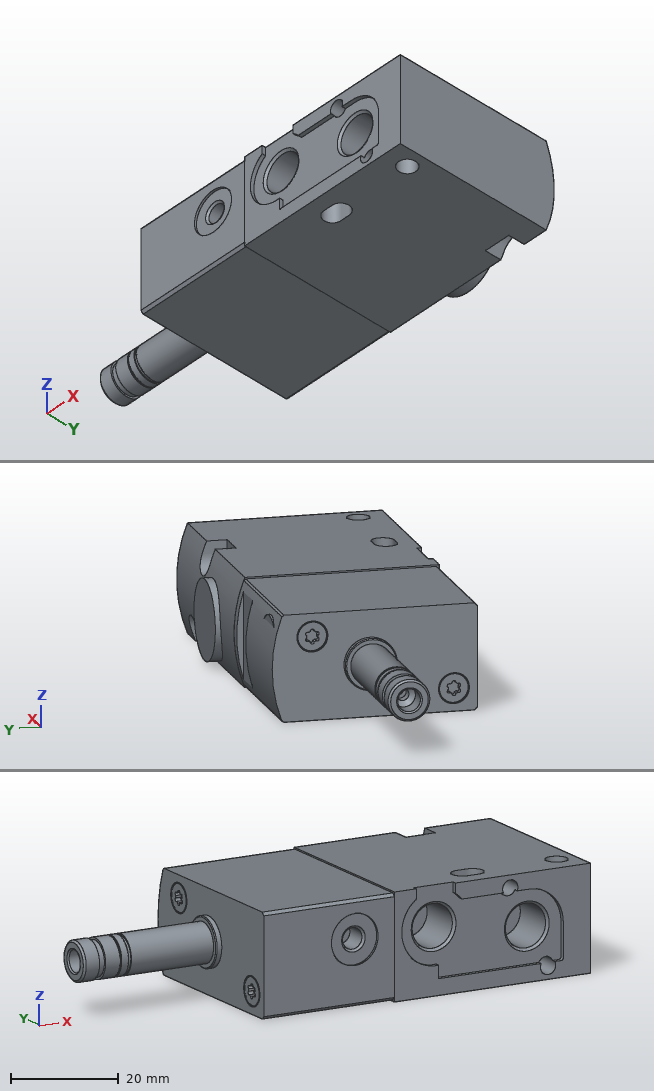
import cadquery as cq
import math


TOTAL_LENGTH = 98.75
VALVE_LENGTH = 42.0
VALVE_HEIGHT = 21.1
PILOT_LENGTH = 27.9
PILOT_HEIGHT = 20.5
STEM_LENGTH = TOTAL_LENGTH - VALVE_LENGTH - PILOT_LENGTH
OUTER_DEPTH = 40.4
SEAT_HEIGHT = 1.0
CREST_Y = OUTER_DEPTH - SEAT_HEIGHT
BULGE_EDGE_Y = 37.3

PORT_DIAMETER = 8.6
PORT_MOUTH_DIAMETER = 9.6
PORT_DEPTH = 9.9
EXHAUST_PORT = (8.9, 2.6)
SUPPLY_PORT = (28.8, 0.0)

RECESS_DEPTH = 0.9
RECESS_RADIUS = 7.3
RECESS_LEFT = 9.5
RECESS_CORNER_RADIUS = 0.5
VENT_LEFT = 4.7
VENT_RIGHT = 13.0

BOLT_HOLES = ((24.8, 8.0), (32.9, -8.0))
BOLT_DIAMETER = 3.3
BOLT_SEAT_WIDTH = 6.3
BOLT_SEAT_Y = 33.4
VERTICAL_HOLE_DIAMETER = 4.3
VERTICAL_HOLE_Y = 5.6
ROUND_HOLE_X = 37.9
OBLONG_HOLE_X = 18.9
OBLONG_HOLE_LENGTH = 6.5

SEAT_DIAMETER = 15.6
SEAT_CENTRE = (17.7, -1.8)

PILOT_FRONT_CHAMFER = 0.6
PILOT_BACK_CHAMFER = 0.3
BACK_SLOT_RIGHT = -2.0
BACK_SLOT_WIDTH = 6.7
BACK_SLOT_FLOOR_Y = 38.1
PILOT_PORT = (-8.5, 2.6)
PILOT_SPOTFACE_DIAMETER = 10.0
PILOT_SPOTFACE_DEPTH = 0.5
PILOT_PORT_MOUTH_DIAMETER = 5.0
PILOT_PORT_DIAMETER = 4.1
PILOT_PORT_DEPTH = 4.9
BACK_BOSS_CENTRE = (-21.8, 3.9)
BACK_BOSS_DIAMETER = 10.0
BACK_BOSS_Y = 38.4

STEM_Y = 20.6
STEM_DIAMETER = 8.0
COLLAR_DIAMETER = 10.0
COLLAR_LENGTH = 1.2
COLLAR_CHAMFER = 0.2
TIP_CHAMFER = 0.4
STEM_GROOVES = ((3.3, 1.3, 7.1), (7.7, 0.3, 7.5), (9.5, 0.6, 7.5))
BORE_MOUTH_DIAMETER = 4.9
BORE_DIAMETER = 4.3
BORE_DEPTH = 3.95
BORE_CONE_LENGTH = 1.0
BORE_STEP_DIAMETER = 2.4
BORE_STEP_DEPTH = 2.0
VENT_BORE_DIAMETER = 0.9
VENT_BORE_DEPTH = 2.0

SCREW_CENTRES = ((31.7, 5.8), (4.5, -5.8))
SCREW_DIAMETER = 5.5
SCREW_LENGTH = 3.0
SCREW_MOUTH_CHAMFER = 0.2
SOCKET_DIAMETER = 2.9
SOCKET_LOBES = 6
SOCKET_LOBE_DIAMETER = 0.7
SOCKET_DEPTH = 1.2

PILOT_FACE_X = -PILOT_LENGTH
TIP_X = PILOT_FACE_X - STEM_LENGTH


def bulged_block(start_x, length, height):
    """Block of the given height, cut from the common profile with the bulged back."""
    half_full = VALVE_HEIGHT / 2
    profile = (
        cq.Workplane("YZ", origin=(start_x, 0, 0))
        .moveTo(0, -half_full)
        .lineTo(BULGE_EDGE_Y, -half_full)
        .threePointArc((CREST_Y, 0), (BULGE_EDGE_Y, half_full))
        .lineTo(0, half_full)
        .close()
        .extrude(length)
    )
    slab = (
        cq.Workplane("XY", origin=(start_x, 0, 0))
        .box(length, OUTER_DEPTH, height, centered=(False, False, True))
    )
    return profile.intersect(slab)


def y_cylinder(centre, diameter, start_y, end_y):
    """Cylinder along Y; centre is (X, Z)."""
    x, z = centre
    base = cq.Vector(x, start_y, z)
    solid = cq.Solid.makeCylinder(diameter / 2, end_y - start_y, base, cq.Vector(0, 1, 0))
    return cq.Workplane(obj=solid)


def y_port(centre, mouth_diameter, diameter, face_y, depth):
    """Blind hole along Y with a 45 degree chamfer at its mouth on face_y."""
    x, z = centre
    chamfer = (mouth_diameter - diameter) / 2
    cone = cq.Solid.makeCone(
        mouth_diameter / 2, diameter / 2, chamfer, cq.Vector(x, face_y, z), cq.Vector(0, 1, 0)
    )
    return y_cylinder(centre, diameter, face_y, face_y + depth).union(cq.Workplane(obj=cone))


def gasket_recess():
    """Shallow recess around both ports, open to the top through a vent."""
    exhaust_x, exhaust_z = EXHAUST_PORT
    right = SUPPLY_PORT[0] + RECESS_RADIUS
    long_part = (
        cq.Workplane("XY")
        .box(right - RECESS_LEFT, RECESS_DEPTH, 2 * RECESS_RADIUS, centered=(False, False, True))
        .translate((RECESS_LEFT, 0, 0))
    )
    long_part = long_part.edges("|Y and >X and >Z").fillet(RECESS_RADIUS)
    long_part = long_part.edges("|Y and >X and <Z").fillet(RECESS_CORNER_RADIUS)
    around_exhaust = y_cylinder((exhaust_x, exhaust_z), 2 * RECESS_RADIUS, 0, RECESS_DEPTH)
    vent = (
        cq.Workplane("XY")
        .box(VENT_RIGHT - VENT_LEFT, RECESS_DEPTH, VALVE_HEIGHT / 2 - exhaust_z, centered=False)
        .translate((VENT_LEFT, 0, exhaust_z))
    )
    return long_part.union(around_exhaust).union(vent)


def bolt_head_seat(centre):
    """U-shaped seat at the back of a bolt hole, open to the nearer of top and bottom."""
    x, z = centre
    depth = OUTER_DEPTH - BOLT_SEAT_Y
    opening = (
        cq.Workplane("XY", origin=(x, BOLT_SEAT_Y + depth / 2, z + math.copysign(VALVE_HEIGHT / 4, z)))
        .box(BOLT_SEAT_WIDTH, depth, VALVE_HEIGHT / 2)
    )
    return y_cylinder(centre, BOLT_SEAT_WIDTH, BOLT_SEAT_Y, OUTER_DEPTH).union(opening)


def make_valve():
    valve = bulged_block(0, VALVE_LENGTH, VALVE_HEIGHT)
    valve = valve.union(y_cylinder(SEAT_CENTRE, SEAT_DIAMETER, STEM_Y, OUTER_DEPTH))
    valve = valve.cut(gasket_recess())
    for centre in (EXHAUST_PORT, SUPPLY_PORT):
        valve = valve.cut(y_port(centre, PORT_MOUTH_DIAMETER, PORT_DIAMETER, RECESS_DEPTH, PORT_DEPTH))
    for centre in BOLT_HOLES:
        valve = valve.cut(y_cylinder(centre, BOLT_DIAMETER, 0, OUTER_DEPTH))
        valve = valve.cut(bolt_head_seat(centre))
    round_hole = (
        cq.Workplane("XY", origin=(ROUND_HOLE_X, VERTICAL_HOLE_Y, -VALVE_HEIGHT / 2))
        .circle(VERTICAL_HOLE_DIAMETER / 2)
        .extrude(VALVE_HEIGHT)
    )
    oblong_hole = (
        cq.Workplane("XY", origin=(OBLONG_HOLE_X, VERTICAL_HOLE_Y, -VALVE_HEIGHT / 2))
        .slot2D(OBLONG_HOLE_LENGTH, VERTICAL_HOLE_DIAMETER)
        .extrude(VALVE_HEIGHT)
    )
    return valve.cut(round_hole).cut(oblong_hole)


def make_stem():
    """Collar and grooved tube along the stem axis, with a stepped bore."""

    def disc(start, length, diameter):
        return (
            cq.Workplane("YZ", origin=(TIP_X + start, STEM_Y, 0))
            .circle(diameter / 2)
            .extrude(length)
        )

    stem = disc(0, STEM_LENGTH, STEM_DIAMETER).faces("<X").chamfer(TIP_CHAMFER)
    collar = disc(STEM_LENGTH - COLLAR_LENGTH, COLLAR_LENGTH, COLLAR_DIAMETER)
    stem = stem.union(collar.faces("<X").chamfer(COLLAR_CHAMFER))
    for start, width, floor_diameter in STEM_GROOVES:
        ring = disc(start, width, COLLAR_DIAMETER).cut(disc(start, width, floor_diameter))
        stem = stem.cut(ring)

    mouth_length = (BORE_MOUTH_DIAMETER - BORE_DIAMETER) / 2
    cone_end = BORE_DEPTH + BORE_CONE_LENGTH
    step_end = cone_end + BORE_STEP_DEPTH
    bore = (
        cq.Workplane("XY", origin=(TIP_X, STEM_Y, 0))
        .moveTo(0, 0)
        .lineTo(0, BORE_MOUTH_DIAMETER / 2)
        .lineTo(mouth_length, BORE_DIAMETER / 2)
        .lineTo(BORE_DEPTH, BORE_DIAMETER / 2)
        .lineTo(cone_end, BORE_STEP_DIAMETER / 2)
        .lineTo(step_end, BORE_STEP_DIAMETER / 2)
        .lineTo(step_end, VENT_BORE_DIAMETER / 2)
        .lineTo(step_end + VENT_BORE_DEPTH, VENT_BORE_DIAMETER / 2)
        .lineTo(step_end + VENT_BORE_DEPTH, 0)
        .close()
        .revolve(360, (0, 0, 0), (1, 0, 0))
    )
    return stem.cut(bore)


def screw_blank(centre):
    """Plain head, flush with the pilot face; centre is (Y, Z)."""
    y, z = centre
    return (
        cq.Workplane("YZ", origin=(PILOT_FACE_X, y, z))
        .circle(SCREW_DIAMETER / 2)
        .extrude(SCREW_LENGTH)
    )


def screw_pocket(centre):
    """Room for a screw head, with a chamfered mouth."""
    y, z = centre
    mouth = cq.Solid.makeCone(
        SCREW_DIAMETER / 2 + SCREW_MOUTH_CHAMFER,
        SCREW_DIAMETER / 2,
        SCREW_MOUTH_CHAMFER,
        cq.Vector(PILOT_FACE_X, y, z),
        cq.Vector(1, 0, 0),
    )
    return screw_blank(centre).union(cq.Workplane(obj=mouth))


def make_screw(centre):
    """Screw head with a six-lobed socket."""
    y, z = centre
    lobe_circle_radius = (SOCKET_DIAMETER - SOCKET_LOBE_DIAMETER) / 2
    face = cq.Workplane("YZ", origin=(PILOT_FACE_X, y, z))
    socket = face.circle(lobe_circle_radius).extrude(SOCKET_DEPTH)
    lobes = (
        face.polarArray(lobe_circle_radius, 90, 360, SOCKET_LOBES)
        .circle(SOCKET_LOBE_DIAMETER / 2)
        .extrude(SOCKET_DEPTH)
    )
    return screw_blank(centre).cut(socket.union(lobes))


def make_pilot():
    """Pilot block carrying the stem."""
    pilot = bulged_block(PILOT_FACE_X, PILOT_LENGTH, PILOT_HEIGHT)
    pilot = pilot.edges("|X and (not <Y)").chamfer(PILOT_BACK_CHAMFER)
    pilot = pilot.edges("|X and <Y").chamfer(PILOT_FRONT_CHAMFER)
    back_slot = (
        cq.Workplane("XY")
        .box(
            BACK_SLOT_WIDTH,
            OUTER_DEPTH - BACK_SLOT_FLOOR_Y,
            PILOT_HEIGHT,
            centered=(False, False, True),
        )
        .translate((BACK_SLOT_RIGHT - BACK_SLOT_WIDTH, BACK_SLOT_FLOOR_Y, 0))
    )
    pilot = pilot.cut(back_slot)
    pilot = pilot.union(y_cylinder(BACK_BOSS_CENTRE, BACK_BOSS_DIAMETER, STEM_Y, BACK_BOSS_Y))
    pilot = pilot.cut(y_cylinder(PILOT_PORT, PILOT_SPOTFACE_DIAMETER, 0, PILOT_SPOTFACE_DEPTH))
    pilot = pilot.cut(
        y_port(
            PILOT_PORT,
            PILOT_PORT_MOUTH_DIAMETER,
            PILOT_PORT_DIAMETER,
            PILOT_SPOTFACE_DEPTH,
            PILOT_PORT_DEPTH,
        )
    )
    for centre in SCREW_CENTRES:
        pilot = pilot.cut(screw_pocket(centre))
    return pilot.union(make_stem())


valve = make_valve()
pilot = make_pilot()
screws = [make_screw(centre) for centre in SCREW_CENTRES]

result = cq.Compound.makeCompound([valve.val(), pilot.val(), *[screw.val() for screw in screws]])